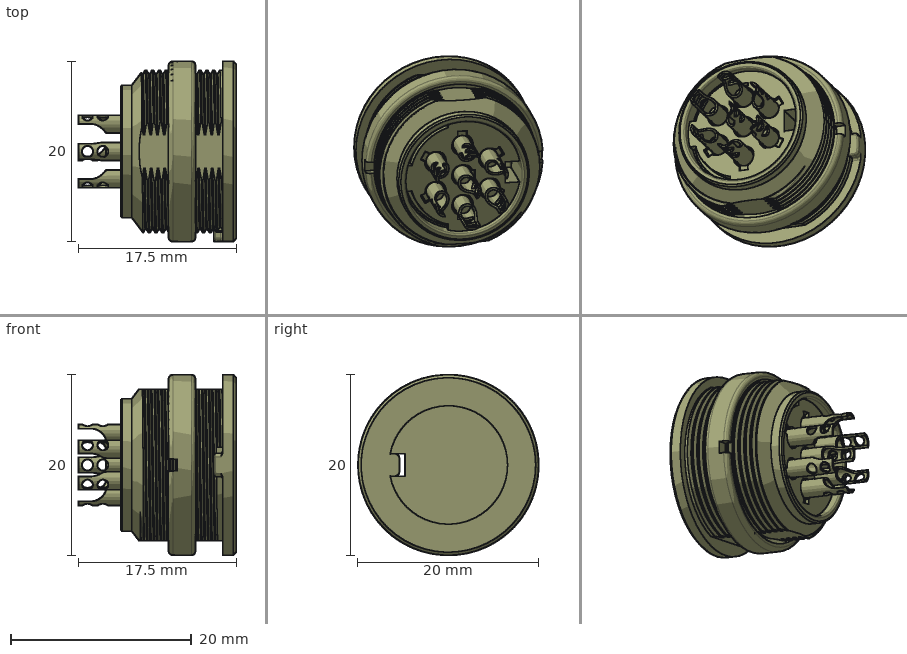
import math

import cadquery as cq


TOTAL_LENGTH = 17.45
FLANGE_THICKNESS = 1.5
FLANGE_REAR_X = TOTAL_LENGTH - FLANGE_THICKNESS
NUT_LENGTH = 3.0
NUT_TO_FLANGE_GAP = 3.0
NUT_REAR_X = FLANGE_REAR_X - NUT_TO_FLANGE_GAP - NUT_LENGTH
SHELL_LENGTH = 12.8
COLLAR_REAR_X = TOTAL_LENGTH - SHELL_LENGTH
COLLAR_LENGTH = 1.25
CONE_REAR_X = COLLAR_REAR_X + COLLAR_LENGTH
CONE_LENGTH = 1.25

FLANGE_RADIUS = 20.0 / 2
FLANGE_CHAMFER = 0.35
COLLAR_RADIUS = 14.7 / 2
COLLAR_CHAMFER = 0.2
BORE_RADIUS = 13.1 / 2
BORE_RIM_FILLET = 0.2
FLAT_HEIGHT = 8.4
SHELL_SEAM_ANGLE = 120.0

THREAD_RADIUS = 18.0 / 2
THREAD_ROOT_RADIUS = 17.2 / 2
THREAD_PITCH = 0.75
THREAD_CREST_WIDTH = 0.15
THREAD_HALF_ANGLE = 30.0
THREAD_START_X = 6.7
THREAD_TURNS = 11.965
GROOVE_OVERRUN = 0.1

NUT_RADIUS = 20.0 / 2
NUT_THREAD_OVERLAP = 0.05
NUT_BORE_RADIUS = THREAD_ROOT_RADIUS - NUT_THREAD_OVERLAP
NUT_COUNTERSINK_RADIUS = 18.3 / 2
NUT_EDGE_FILLET = 0.5
NUT_NOTCH_WIDTH = 1.3
NUT_NOTCH_DEPTH = 1.0

TAB_LENGTH = 1.0
TAB_WIDTH = 2.6
TAB_INNER_RADIUS = 8.7
TAB_SIDE_FILLET = 0.45
TAB_REAR_FILLET = 0.2
TAB_ROOT_FILLET = 0.25

INSULATOR_RECESS = 1.0
INSULATOR_REAR_X = COLLAR_REAR_X + INSULATOR_RECESS
INSULATOR_LENGTH = 5.0
RELIEF_INNER_RADIUS = 5.9
RELIEF_Y_START = 1.6
RELIEF_Z_START = 1.5
RELIEF_DEPTH = 1.0
RELIEF_LEDGE_RADIUS = 6.33
RELIEF_LEDGE_HEIGHT = 0.1
SLOT_INNER_Y = 4.82
SLOT_WIDTH = 2.45

RIB_HEIGHT = 1.15
RIB_CORNER_RADIUS = 0.5
RIB_END_RADIUS = 1.0
RIB_ROOT_OVERLAP = 0.3

CONTACT_RADIUS = 2.0 / 2
CUP_BORE_RADIUS = 1.5 / 2
CUP_BORE_DEPTH = 5.0
CONTACT_CIRCLE_RADIUS = 3.5
OUTER_CONTACT_COUNT = 6
CENTRE_CONTACT_PLACE = (0, 0, 180)
CUP_WALL_OFFSET = 0.5
CUP_OPENING_LENGTH = 3.1
CUP_OPENING_RADIUS = 1.7
WIRE_HOLE_DIAMETER = 1.2
WIRE_HOLE_STATIONS = (1.0, 2.7)

SEAT_RADIUS = 2.4 / 2
SEAT_DEPTH = 0.4
SEAT_KEY_WIDTH = 1.03
SEAT_KEY_FLOOR_REACH = 1.5
SEAT_KEY_TOP_REACH = 1.66
CENTRE_KEY_REACH = 1.42

CLEARANCE = 1.0


def x_cylinder(radius, start_x, end_x):
    """Cylinder about the X axis."""
    return cq.Workplane("YZ").workplane(offset=start_x).circle(radius).extrude(end_x - start_x)


def block(x_range, y_range, z_range):
    """Box given by its limits along each axis."""
    sizes = [high - low for low, high in (x_range, y_range, z_range)]
    corner = (x_range[0], y_range[0], z_range[0])
    return cq.Workplane("XY").box(*sizes, centered=False).translate(corner)


def revolve_about_x(points):
    """Solid of revolution about X from an (x, radius) outline."""
    return cq.Workplane("XY").polyline(points).close().revolve(360, (0, 0, 0), (1, 0, 0))


def make_thread_groove():
    """Right-handed trapezoidal helical groove that starts on the -Y side."""
    flare = math.tan(math.radians(THREAD_HALF_ANGLE))
    outer_radius = THREAD_RADIUS + GROOVE_OVERRUN
    half_crest_gap = (THREAD_PITCH - THREAD_CREST_WIDTH) / 2
    half_outer = half_crest_gap + (outer_radius - THREAD_RADIUS) * flare
    half_root = half_crest_gap - (THREAD_RADIUS - THREAD_ROOT_RADIUS) * flare
    helix = cq.Wire.makeHelix(THREAD_PITCH, THREAD_PITCH * THREAD_TURNS, THREAD_ROOT_RADIUS)
    profile = [
        (THREAD_ROOT_RADIUS, -half_root),
        (outer_radius, -half_outer),
        (outer_radius, half_outer),
        (THREAD_ROOT_RADIUS, half_root),
    ]
    groove = cq.Workplane("XZ").polyline(profile).close().sweep(cq.Workplane(helix), isFrenet=True)
    groove = groove.rotate((0, 0, 0), (0, 1, 0), 90)
    groove = groove.rotate((0, 0, 0), (1, 0, 0), -90)
    return groove.translate((THREAD_START_X, 0, 0))


def make_shell():
    """Threaded shell with collar, cone, two flats, front flange and a through bore."""
    body = revolve_about_x(
        [
            (COLLAR_REAR_X, 0),
            (COLLAR_REAR_X, COLLAR_RADIUS - COLLAR_CHAMFER),
            (COLLAR_REAR_X + COLLAR_CHAMFER, COLLAR_RADIUS),
            (CONE_REAR_X, COLLAR_RADIUS),
            (CONE_REAR_X + CONE_LENGTH, THREAD_RADIUS),
            (FLANGE_REAR_X, THREAD_RADIUS),
            (FLANGE_REAR_X, 0),
        ]
    )
    body = body.rotate((0, 0, 0), (1, 0, 0), SHELL_SEAM_ANGLE).cut(make_thread_groove())
    x_range = (CONE_REAR_X, FLANGE_REAR_X + CLEARANCE)
    y_range = (-FLANGE_RADIUS, FLANGE_RADIUS)
    body = body.cut(block(x_range, y_range, (FLAT_HEIGHT, FLANGE_RADIUS)))
    body = body.cut(block(x_range, y_range, (-FLANGE_RADIUS, -FLAT_HEIGHT)))
    flange = x_cylinder(FLANGE_RADIUS, FLANGE_REAR_X, TOTAL_LENGTH).faces(">X").chamfer(FLANGE_CHAMFER)
    body = body.union(flange).union(make_tab())
    body = body.cut(x_cylinder(BORE_RADIUS, 0, TOTAL_LENGTH + CLEARANCE))
    rim = cq.selectors.RadiusNthSelector(0)
    return body.faces("<X").edges(rim).fillet(BORE_RIM_FILLET)


def make_tab():
    """Rounded block on the -Y side that locates the flange in its panel."""
    y_range = (-FLANGE_RADIUS - CLEARANCE, -TAB_INNER_RADIUS)
    envelope = x_cylinder(FLANGE_RADIUS, 0, TOTAL_LENGTH)
    tab = block((FLANGE_REAR_X - TAB_LENGTH, FLANGE_REAR_X), y_range, (-TAB_WIDTH / 2, TAB_WIDTH / 2))
    tab = tab.intersect(envelope).edges("|X").edges("<Y").fillet(TAB_SIDE_FILLET)
    backing_x_range = (FLANGE_REAR_X, FLANGE_REAR_X + FLANGE_THICKNESS / 2)
    tab = tab.union(block(backing_x_range, y_range, (-TAB_WIDTH, TAB_WIDTH)))
    root_half_width = TAB_WIDTH / 2 + TAB_ROOT_FILLET
    root = cq.selectors.BoxSelector(
        (FLANGE_REAR_X - TAB_ROOT_FILLET, -FLANGE_RADIUS - TAB_ROOT_FILLET, -root_half_width),
        (FLANGE_REAR_X + TAB_ROOT_FILLET, -TAB_INNER_RADIUS - TAB_ROOT_FILLET, root_half_width),
    )
    tab = tab.edges(root).fillet(TAB_ROOT_FILLET)
    tab = tab.faces("<X").edges("<Y").fillet(TAB_REAR_FILLET)
    return tab.intersect(envelope)


def make_nut():
    """Ring nut, countersunk at both ends, with two wrench notches in its rear face."""
    countersink = NUT_COUNTERSINK_RADIUS - NUT_BORE_RADIUS
    nut = x_cylinder(NUT_RADIUS, NUT_REAR_X, NUT_REAR_X + NUT_LENGTH)
    nut = nut.edges().fillet(NUT_EDGE_FILLET)
    bore = x_cylinder(NUT_BORE_RADIUS, NUT_REAR_X, NUT_REAR_X + NUT_LENGTH)
    nut = nut.cut(bore)
    inner = cq.selectors.RadiusNthSelector(0)
    nut = nut.faces("<X or >X").edges(inner).chamfer(countersink)
    notches = block(
        (NUT_REAR_X - CLEARANCE, NUT_REAR_X + NUT_NOTCH_DEPTH),
        (-NUT_RADIUS - CLEARANCE, NUT_RADIUS + CLEARANCE),
        (-NUT_NOTCH_WIDTH / 2, NUT_NOTCH_WIDTH / 2),
    )
    return nut.cut(notches)


def outer_contact_places():
    """Return (y, z, direction) of each outer contact; its cup wall and key point outwards."""
    places = []
    for index in range(OUTER_CONTACT_COUNT):
        direction = (index + 0.5) * 360 / OUTER_CONTACT_COUNT
        angle = math.radians(direction)
        y = CONTACT_CIRCLE_RADIUS * math.cos(angle)
        z = CONTACT_CIRCLE_RADIUS * math.sin(angle)
        places.append((y, z, direction))
    return places


def place(feature, contact):
    """Move a feature modelled on the X axis, pointing at +Y, to a contact."""
    y, z, direction = contact
    return feature.rotate((0, 0, 0), (1, 0, 0), direction).translate((0, y, z))


def make_contact():
    """Solder-cup contact on the X axis, with its cup wall on the +Y side."""
    contact = x_cylinder(CONTACT_RADIUS, 0, INSULATOR_REAR_X + INSULATOR_LENGTH)
    contact = contact.cut(x_cylinder(CUP_BORE_RADIUS, 0, CUP_BORE_DEPTH))
    opening = block(
        (-CLEARANCE, CUP_OPENING_LENGTH),
        (CUP_WALL_OFFSET - 2 * CUP_OPENING_RADIUS, CUP_WALL_OFFSET),
        (-CONTACT_RADIUS, CONTACT_RADIUS),
    )
    opening = opening.edges("|Z and >X and >Y").fillet(CUP_OPENING_RADIUS)
    contact = contact.cut(opening)
    for station in WIRE_HOLE_STATIONS:
        hole = cq.Workplane("XZ").center(station, 0).circle(WIRE_HOLE_DIAMETER / 2).extrude(-CONTACT_RADIUS)
        contact = contact.cut(hole)
    return contact


def make_seat(key_floor_reach, key_top_reach):
    """Round recess with a key pocket towards +Y; its end slopes if the two reaches differ."""
    front_x = INSULATOR_REAR_X + SEAT_DEPTH
    key_outline = [
        (INSULATOR_REAR_X, 0),
        (INSULATOR_REAR_X, key_top_reach),
        (front_x, key_floor_reach),
        (front_x, 0),
    ]
    key = cq.Workplane("XY").polyline(key_outline).close().extrude(SEAT_KEY_WIDTH / 2, both=True)
    return x_cylinder(SEAT_RADIUS, INSULATOR_REAR_X, front_x).union(key)


def make_relief():
    """Edge reliefs in the two +Y quadrants of the insulator's rear face, with a low outer ledge."""
    end_x = INSULATOR_REAR_X + RELIEF_DEPTH
    ring = x_cylinder(BORE_RADIUS, INSULATOR_REAR_X, end_x)
    ring = ring.cut(x_cylinder(RELIEF_INNER_RADIUS, INSULATOR_REAR_X, end_x))
    ledge = x_cylinder(BORE_RADIUS, end_x - RELIEF_LEDGE_HEIGHT, end_x)
    ledge = ledge.cut(x_cylinder(RELIEF_LEDGE_RADIUS, end_x - RELIEF_LEDGE_HEIGHT, end_x))
    ring = ring.cut(ledge)
    x_range = (INSULATOR_REAR_X, end_x)
    y_range = (RELIEF_Y_START, BORE_RADIUS)
    upper = block(x_range, y_range, (RELIEF_Z_START, BORE_RADIUS))
    lower = block(x_range, y_range, (-BORE_RADIUS, -RELIEF_Z_START))
    return ring.intersect(upper.union(lower))


def make_insulator():
    """Insulator disc in the shell bore, complete with its seven contacts."""
    front_x = INSULATOR_REAR_X + INSULATOR_LENGTH
    insulator = x_cylinder(BORE_RADIUS, INSULATOR_REAR_X, front_x)
    slot = block(
        (INSULATOR_REAR_X, front_x),
        (-BORE_RADIUS, -SLOT_INNER_Y),
        (-SLOT_WIDTH / 2, SLOT_WIDTH / 2),
    )
    insulator = insulator.cut(slot).cut(make_relief())
    insulator = insulator.cut(place(make_seat(CENTRE_KEY_REACH, CENTRE_KEY_REACH), CENTRE_CONTACT_PLACE))
    outer_seat = make_seat(SEAT_KEY_FLOOR_REACH, SEAT_KEY_TOP_REACH)
    for contact_place in outer_contact_places():
        insulator = insulator.cut(place(outer_seat, contact_place))
    contact = make_contact()
    for contact_place in [CENTRE_CONTACT_PLACE] + outer_contact_places():
        insulator = insulator.union(place(contact, contact_place))
    return insulator


def make_rib():
    """Keying rib on the -Y side of the bore, with a quarter-round rear end."""
    rear_x = INSULATOR_REAR_X + INSULATOR_LENGTH
    crest_y = -BORE_RADIUS + RIB_HEIGHT
    root_y = -BORE_RADIUS - RIB_ROOT_OVERLAP
    rib = block((rear_x, TOTAL_LENGTH), (root_y, crest_y), (-SLOT_WIDTH / 2, SLOT_WIDTH / 2))
    rib = rib.edges("|X and >Y").fillet(RIB_CORNER_RADIUS)
    side_outline = (
        cq.Workplane("XY")
        .moveTo(rear_x, root_y)
        .lineTo(rear_x, crest_y - RIB_END_RADIUS)
        .radiusArc((rear_x + RIB_END_RADIUS, crest_y), RIB_END_RADIUS)
        .lineTo(TOTAL_LENGTH, crest_y)
        .lineTo(TOTAL_LENGTH, root_y)
        .close()
    )
    return rib.intersect(side_outline.extrude(SLOT_WIDTH, both=True))


result = make_shell().union(make_nut()).union(make_insulator()).union(make_rib())